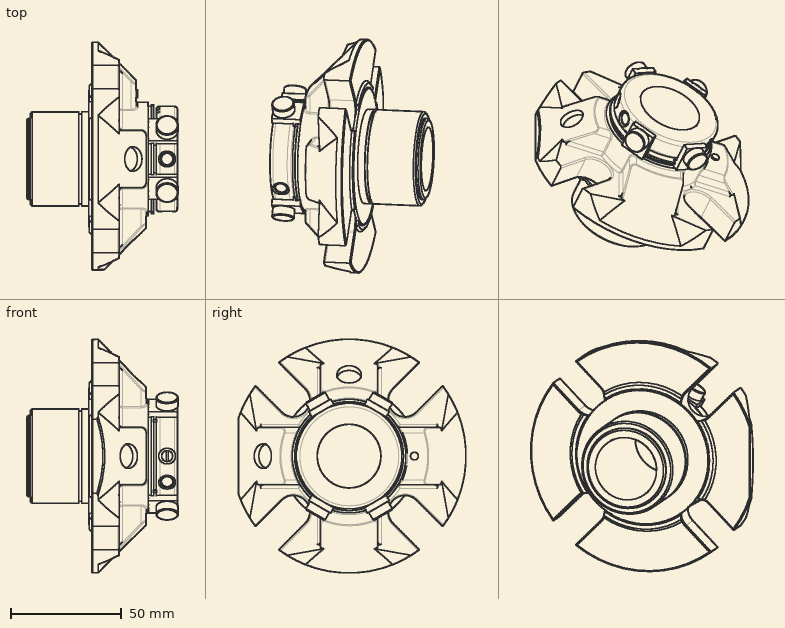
import cadquery as cq
import math

SLEEVE_TIP_X = -29.21
SLEEVE_STEP_X = -27.6
GROOVE_START_X = -5.7
GROOVE_END_X = -4.5
DISC_FACE_X = -1.3
FLANGE_THICKNESS = 12.4
HUB_END_X = 25.4
SNAP_RING_X = 26.9
SNAP_RING_END_X = 27.9
COLLAR_START_X = 29.1
COLLAR_END_X = 38.7

BORE_RADIUS = 28.57 / 2
SLEEVE_INNER_RADIUS = 30.56 / 2
SLEEVE_TIP_RADIUS = 36.75 / 2
SLEEVE_RADIUS = 42.55 / 2
SHOULDER_RADIUS = 42.6 / 2
GROOVE_RADIUS = 40.74 / 2
SLEEVE_CHAMFER = 0.8

DISC_RADIUS = 61.32 / 2
SEAT_INNER_RADIUS = 31.2
SEAT_OUTER_RADIUS = 33.0
SEAT_BASE_RADIUS = 34.1
SEAT_HEIGHT = 1.1

FLANGE_RADIUS = 105.41 / 2
RIM_WIDTH = 2.9
FLAT_DISTANCE = 50.0
SLOT_RADIUS = 7.4
SLOT_CENTRE_RADIUS = 35.5
FLANGE_EDGE_CHAMFER = 0.5
SLOT_RIM_FILLET = 0.7

FACET_TWIST = 10.2
FACET_TIP_DISTANCE = 39.02
FACET_SLOPE = 30.6
FACET_INNER_OFFSET = 18.4
FACET_OUTER_OFFSET = 42.0
FACET_DEPTH = 14.0

HUB_RADIUS = 25.6
LOBE_HALF_WIDTH = 13.0
LOBE_END_X = 24.5
SHORT_LOBE_END_X = 20.0
LOBE_CORNER_FILLET = 2.4
LOBE_EDGE_FILLET = 0.7
HUB_FILLET = 0.7
FLOOR_FILLET = 1.4

PORT_RADIUS = 11 / 2
PORT_DEPTH = 3.0
FRONT_PORT_X = 16.75
TOP_PORT_X = 18.8

PIN_RADIUS = 1.75
PIN_HEIGHT = 0.7
PIN_OFFSET = 29.4

COLLAR_RADIUS = 47.57 / 2
SNAP_RING_RADIUS = 49.1 / 2
COLLAR_FILLET = 1.5
SCREW_X = 34.0
SCREW_HOLE_RADIUS = 6 / 2
SCREW_MOUTH_RADIUS = 7.6 / 2
SCREW_RECESS = 1.2
SCREW_RADIUS = 4.92 / 2
SCREW_CHAMFER = SCREW_HOLE_RADIUS - SCREW_RADIUS
DRIVER_SLOT_WIDTH = 1.0
DRIVER_SLOT_DEPTH = 0.8
SET_SCREW_ANGLES = (90, 210, 330)
PLAIN_SCREW_ANGLE = 0

CLIP_ANGLES = (60, 120, 240, 300)
CLIP_WIDTH = 11.4
CLIP_START_X = 25.6
CLIP_INNER = 23.6
CLIP_OUTER = 26.4
TONGUE_INNER = 22.2
HEAD_RADIUS = 10 / 2
HEAD_OUTER = 30.6
HEAD_CHAMFER = 0.4

FRONT_ANGLE = 0
TOP_ANGLE = 90
BACK_ANGLE = 180
LOBE_ANGLES = (FRONT_ANGLE, TOP_ANGLE, BACK_ANGLE, 270)
BOLT_ANGLES = (45, 135, 225, 315)

TOLERANCE = 0.1

X_AXIS = ((0, 0, 0), (1, 0, 0))


def around(shape, angle):
    """Turn a shape made on the -Y side about X; 90 degrees brings it to +Z."""
    return shape.rotate(*X_AXIS, -angle)


def cylinder(radius, start_x, end_x):
    return cq.Workplane("YZ", origin=(start_x, 0, 0)).circle(radius).extrude(end_x - start_x)


def distance_from_axis(point):
    return math.hypot(point.y, point.z)


def radial_cylinder(radius, inner, outer, x):
    """Cylinder pointing along -Y between two distances from the X axis."""
    plane = cq.Plane(origin=(x, -inner, 0), xDir=(1, 0, 0), normal=(0, -1, 0))
    return cq.Workplane(plane).circle(radius).extrude(outer - inner)


def radial_block(start_x, end_x, inner, outer, width):
    size_x = end_x - start_x
    size_y = outer - inner
    centre = ((start_x + end_x) / 2, -(inner + outer) / 2, 0)
    return cq.Workplane("XY").box(size_x, size_y, width).translate(centre)


def cone_radius(x):
    return FLANGE_RADIUS + RIM_WIDTH - x


def cone_body(end_x):
    profile = [
        (0, 0),
        (0, FLANGE_RADIUS),
        (RIM_WIDTH, FLANGE_RADIUS),
        (end_x, cone_radius(end_x)),
        (end_x, 0),
    ]
    return cq.Workplane("XY").polyline(profile).close().revolve(360, *X_AXIS)


def corner_facet(side):
    """Prism under one inclined facet; side +1 or -1 picks the quadrant corner."""
    inner = FACET_TIP_DISTANCE - FACET_DEPTH
    base = FACET_TIP_DISTANCE + FLANGE_THICKNESS * math.tan(math.radians(FACET_SLOPE))
    profile = [
        (0, -inner),
        (0, -base),
        (FLANGE_THICKNESS, -FACET_TIP_DISTANCE),
        (FLANGE_THICKNESS, -inner),
    ]
    prism = cq.Workplane("XY").workplane(offset=FACET_INNER_OFFSET).polyline(profile).close()
    prism = prism.extrude(FACET_OUTER_OFFSET - FACET_INNER_OFFSET)
    prism = prism.rotate(*X_AXIS, FACET_TWIST)
    return prism if side > 0 else prism.mirror("XY")


def bolt_slot():
    """Open radial slot with a round inner end, made on the -Y side."""
    slot = cylinder(SLOT_RADIUS, 0, FLANGE_THICKNESS).translate((0, -SLOT_CENTRE_RADIUS, 0))
    mouth = radial_block(0, FLANGE_THICKNESS, SLOT_CENTRE_RADIUS, 2 * FLANGE_RADIUS, 2 * SLOT_RADIUS)
    return slot.union(mouth)


def is_slot_edge(point):
    """True for a point on or inside the outline of a bolt slot."""
    across = abs(abs(point.y) - abs(point.z)) / math.sqrt(2)
    return across < SLOT_RADIUS + TOLERANCE and distance_from_axis(point) > HUB_RADIUS


def flange():
    body = cone_body(FLANGE_THICKNESS)
    rim = cylinder(FLANGE_RADIUS, 0, FLANGE_THICKNESS)
    for angle in LOBE_ANGLES:
        for side in (1, -1):
            body = body.union(around(corner_facet(side), angle).intersect(rim))
    body = body.cut(radial_block(0, FLANGE_THICKNESS, FLAT_DISTANCE, 2 * FLAT_DISTANCE, 2 * FLANGE_RADIUS))
    for angle in BOLT_ANGLES:
        body = body.cut(around(bolt_slot(), angle))
    slot_rims = body.faces(">X").edges().filter(lambda edge: is_slot_edge(edge.Center()))
    body = slot_rims.fillet(SLOT_RIM_FILLET)
    body = body.faces("<X").edges().chamfer(FLANGE_EDGE_CHAMFER)
    flat_crest = body.faces("<Y").edges("%HYPERBOLA")
    return flat_crest.chamfer(FLANGE_EDGE_CHAMFER)


def lobe(end_x):
    block = radial_block(FLANGE_THICKNESS, end_x, 0, FLANGE_RADIUS, 2 * LOBE_HALF_WIDTH)
    block = block.faces(">X").edges("|Y").fillet(LOBE_CORNER_FILLET)
    body = block.intersect(cone_body(end_x))
    first_x = FLANGE_THICKNESS + TOLERANCE
    last_x = end_x - TOLERANCE
    side_edges = body.faces("%CONE").edges().filter(lambda edge: first_x < edge.Center().x < last_x)
    return side_edges.fillet(LOBE_EDGE_FILLET)


def hub_with_lobes():
    body = cylinder(HUB_RADIUS, FLANGE_THICKNESS, HUB_END_X)
    for angle in LOBE_ANGLES:
        end_x = SHORT_LOBE_END_X if angle == BACK_ANGLE else LOBE_END_X
        body = body.union(around(lobe(end_x), angle))
    roots = body.edges("|X").filter(lambda edge: distance_from_axis(edge.Center()) > HUB_RADIUS - TOLERANCE)
    return roots.fillet(HUB_FILLET)


def pocket():
    """Space between two lobes, rounded where its walls and hub face meet the floor."""
    span = FLANGE_RADIUS
    middle = LOBE_HALF_WIDTH + span / 2
    space = cq.Workplane("YZ", origin=(FLANGE_THICKNESS, -middle, middle)).rect(span, span)
    space = space.extrude(LOBE_END_X).cut(cylinder(HUB_RADIUS, 0, 2 * LOBE_END_X))
    near_hub = space.edges("|X").filter(lambda edge: distance_from_axis(edge.Center()) < HUB_RADIUS + TOLERANCE)
    space = near_hub.fillet(HUB_FILLET)
    return space.faces("<X").edges().fillet(FLOOR_FILLET)


def floor_coves():
    """Concave fillets along the pocket floors, ending below the rounded cone edges of the lobes."""
    start_x = FLANGE_THICKNESS
    end_x = FLANGE_THICKNESS + FLOOR_FILLET
    margin = LOBE_EDGE_FILLET * math.sqrt(2)
    profile = [
        (start_x, 0),
        (start_x, cone_radius(start_x) - margin),
        (end_x, cone_radius(end_x) - margin),
        (end_x, 0),
    ]
    coves = cq.Workplane("XY").polyline(profile).close().revolve(360, *X_AXIS)
    space = pocket()
    for angle in LOBE_ANGLES:
        coves = coves.cut(around(space, angle))
    return coves


def gasket_seat():
    ring_profile = [
        (0, SEAT_INNER_RADIUS),
        (0, SEAT_BASE_RADIUS),
        (-SEAT_HEIGHT, SEAT_OUTER_RADIUS),
        (-SEAT_HEIGHT, SEAT_INNER_RADIUS),
    ]
    ring = cq.Workplane("XY").polyline(ring_profile).close().revolve(360, *X_AXIS)
    slot_cutter = bolt_slot().translate((-FLANGE_THICKNESS / 2, 0, 0))
    for angle in BOLT_ANGLES:
        ring = ring.cut(around(slot_cutter, angle))
    return ring.union(cylinder(DISC_RADIUS, DISC_FACE_X, 0))


def sleeve():
    tip = cylinder(SLEEVE_TIP_RADIUS, SLEEVE_TIP_X, SLEEVE_STEP_X).faces("<X").chamfer(SLEEVE_CHAMFER)
    barrel = cylinder(SLEEVE_RADIUS, SLEEVE_STEP_X, GROOVE_START_X).faces("<X").chamfer(SLEEVE_CHAMFER)
    neck = cylinder(GROOVE_RADIUS, GROOVE_START_X, GROOVE_END_X)
    shoulder = cylinder(SHOULDER_RADIUS, GROOVE_END_X, DISC_FACE_X)
    inner = cylinder(SLEEVE_INNER_RADIUS, HUB_END_X, COLLAR_END_X)
    return tip.union(barrel).union(neck).union(shoulder).union(inner)


def port(x):
    """Flat-bottomed port square to the cone, made on the -Y side."""
    plane = cq.Plane(origin=(x, -cone_radius(x), 0), xDir=(0, 0, 1), normal=(1, -1, 0))
    return cq.Workplane(plane).workplane(offset=-PORT_DEPTH).circle(PORT_RADIUS).extrude(2 * PORT_DEPTH)


def stop_pin():
    pin = cylinder(PIN_RADIUS, SHORT_LOBE_END_X, SHORT_LOBE_END_X + PIN_HEIGHT)
    return pin.translate((0, PIN_OFFSET, 0))


def countersink(inner_radius):
    """Conical mouth at 45 degrees, made on the -Y side."""
    depth = SCREW_MOUTH_RADIUS - inner_radius
    plane = cq.Plane(origin=(SCREW_X, -COLLAR_RADIUS, 0), xDir=(1, 0, 0), normal=(0, 1, 0))
    return cq.Workplane(plane).circle(SCREW_MOUTH_RADIUS).workplane(offset=depth).circle(inner_radius).loft()


def set_screw_recess():
    """Countersunk hole that leaves the chamfered tip of a set screw at its bottom."""
    floor = COLLAR_RADIUS - SCREW_RECESS
    hole = radial_cylinder(SCREW_HOLE_RADIUS, floor, COLLAR_RADIUS, SCREW_X)
    screw = radial_cylinder(SCREW_HOLE_RADIUS, floor - SCREW_CHAMFER, floor + SCREW_CHAMFER, SCREW_X)
    screw = screw.faces("<Y").chamfer(SCREW_CHAMFER)
    return hole.cut(screw).union(countersink(SCREW_HOLE_RADIUS))


def plain_screw_recess():
    """Countersink down to a screw face with a driver slot."""
    face = COLLAR_RADIUS - (SCREW_MOUTH_RADIUS - SCREW_RADIUS)
    half_width = DRIVER_SLOT_WIDTH / 2
    floor = face - DRIVER_SLOT_DEPTH
    driver_slot = radial_block(SCREW_X - half_width, SCREW_X + half_width, floor, face, 2 * SCREW_RADIUS)
    screw_outline = radial_cylinder(SCREW_RADIUS, floor, face, SCREW_X)
    return countersink(SCREW_RADIUS).union(driver_slot.intersect(screw_outline))


def lock_collar():
    shoulder = cylinder(COLLAR_RADIUS, HUB_END_X, SNAP_RING_X)
    snap_ring = cylinder(SNAP_RING_RADIUS, SNAP_RING_X, SNAP_RING_END_X)
    collar = cylinder(COLLAR_RADIUS, COLLAR_START_X, COLLAR_END_X).edges().fillet(COLLAR_FILLET)
    for angle in SET_SCREW_ANGLES:
        collar = collar.cut(around(set_screw_recess(), angle))
    collar = collar.cut(around(plain_screw_recess(), PLAIN_SCREW_ANGLE))
    return collar.union(shoulder).union(snap_ring)


def setting_clip():
    """Flat clip with an inner tongue and a round screw head, made on the -Y side."""
    plate = radial_block(CLIP_START_X, COLLAR_END_X, CLIP_INNER, CLIP_OUTER, CLIP_WIDTH)
    tongue = radial_block(SNAP_RING_END_X, COLLAR_START_X, TONGUE_INNER, CLIP_INNER, CLIP_WIDTH)
    head = radial_cylinder(HEAD_RADIUS, CLIP_OUTER, HEAD_OUTER, SCREW_X).faces("<Y").chamfer(HEAD_CHAMFER)
    return plate.union(tongue).union(head)


def gland_body():
    body = flange().union(hub_with_lobes()).union(floor_coves())
    body = body.cut(around(port(FRONT_PORT_X), FRONT_ANGLE))
    body = body.cut(around(port(TOP_PORT_X), TOP_ANGLE))
    return body.union(stop_pin())


def cartridge_core():
    """Sleeve, lock collar and setting clips, without the bore."""
    core = sleeve().union(lock_collar())
    for angle in CLIP_ANGLES:
        core = core.union(around(setting_clip(), angle))
    return core


result = gland_body().union(gasket_seat()).union(cartridge_core())
result = result.cut(cylinder(BORE_RADIUS, SLEEVE_TIP_X, COLLAR_END_X))